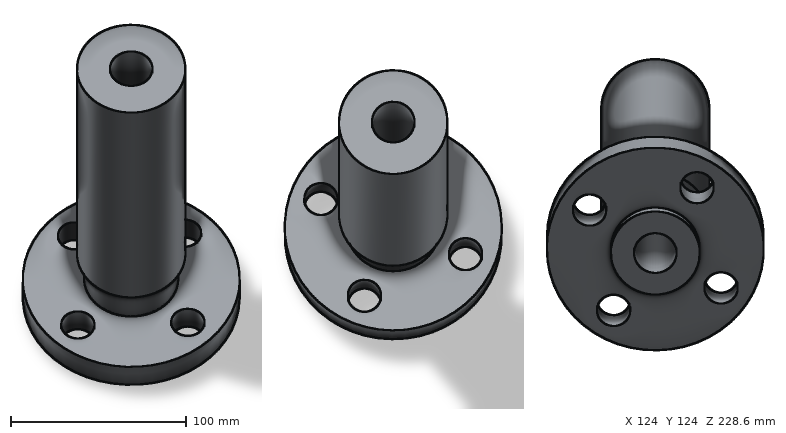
import cadquery as cq

total_length = 228.6
flange_diameter = 124.0

raised_face_height = 6.35
flange_thickness = 17.5
neck_length = 22.1
taper_height = 2.75

raised_face_diameter = 50.8
neck_diameter = 54.0
barrel_diameter = 62.0
bore_diameter = 24.3

foot_radius = 1.0

bolt_circle_diameter = 88.9
bolt_hole_diameter = 19.05
bolt_hole_count = 4

flange_top = raised_face_height + flange_thickness
neck_top = flange_top + neck_length
barrel_bottom = neck_top + taper_height


def disc(diameter, bottom, top):
    """Solid cylinder on the Z axis between two heights."""
    return cq.Workplane("XY").workplane(offset=bottom).circle(diameter / 2).extrude(top - bottom)


def make_shank():
    """Neck with a rounded foot, tapering out to the long barrel."""
    neck_radius = neck_diameter / 2
    barrel_radius = barrel_diameter / 2
    foot_start = (neck_radius - foot_radius, flange_top)
    foot_end = (neck_radius, flange_top + foot_radius)
    profile = (
        cq.Workplane("XZ")
        .moveTo(0, flange_top)
        .lineTo(*foot_start)
        .radiusArc(foot_end, -foot_radius)
        .lineTo(neck_radius, neck_top)
        .lineTo(barrel_radius, barrel_bottom)
        .lineTo(barrel_radius, total_length)
        .lineTo(0, total_length)
        .close()
    )
    return profile.revolve(360, (0, 0, 0), (0, 1, 0))


def make_bolt_holes():
    """Through holes on the bolt circle, the first on the +X axis."""
    return (
        cq.Workplane("XY")
        .polarArray(bolt_circle_diameter / 2, 0, 360, bolt_hole_count)
        .circle(bolt_hole_diameter / 2)
        .extrude(flange_top)
    )


raised_face = disc(raised_face_diameter, 0, raised_face_height)
flange = disc(flange_diameter, raised_face_height, flange_top)
bore = disc(bore_diameter, 0, total_length)

result = raised_face.union(flange).union(make_shank()).cut(make_bolt_holes()).cut(bore)